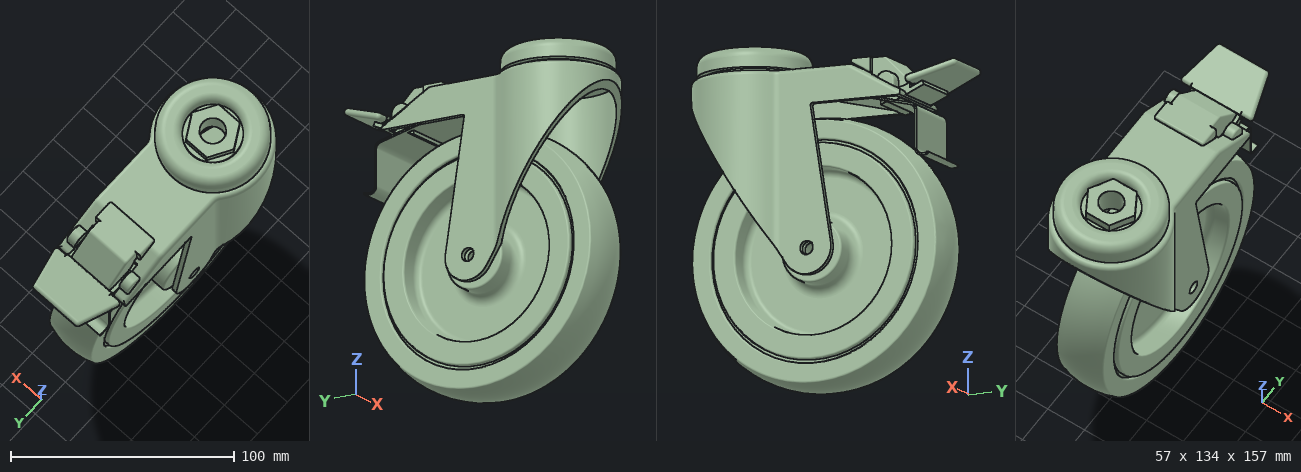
import cadquery as cq
import math


wheel_radius = 62.5
total_height = 157.0
top_z = total_height - wheel_radius
swivel_y = -35.0
axle_hole_diameter = 6.3

sheet = 2.5
fork_top_z = 82.7
barrel_radius = 28.5
tail_half_width = 20.65
tail_rear_y = 45.8
tail_bottom_z = 66.18
tail_slope = math.radians(30)
slope_start_y = 21.4
bend_radius = 4.7
edge_radius = 2.2
neck_fillet = 5.3
leg_radius = 12.01
leg_rear_top_y = 1.7
leg_corner_radius = 1.3
barrel_front_z = 76.3
slot_half_width = 13.5
slot_front_y = 30.1
rear_lip = 1.3

boss_y = 37.7
boss_z = 73.6
boss_radius = 4.47
boss_end_x = 18.7
boss_edge = 1.0

cap_radius = 26.0
cap_bottom_z = 84.5
cap_fillet = 4.9
neck_radius = 22.53
recess_radius = 13.7
recess_fillet = 4.1
recess_depth = 4.7
hex_flats = 22.0
bolt_bore_diameter = 12.0

tyre_half_width = 12.7
tyre_edge_radius = 60.1
tyre_fillet = 1.0
rim_half_width = 13.7
groove_inner_radius = 49.53
groove_outer_radius = 51.0
groove_half_width = 11.0
groove_fillet = 1.0
pocket_radius = 38.5
pocket_edge_fillet = 1.0
pocket_floor_fillet = 3.1
web_half_width = 2.8
hub_radius = 14.8
hub_half_width = 15.4
hub_base_fillet = 5.0
hub_edge_fillet = 1.0
ring_tolerance = 0.02

pedal_tilt = 19.0
pedal_thickness = 3.6
pedal_edge = 1.7
pedal_front_y = 47.7
pedal_front_z = 73.3
pedal_length = 24.0
pedal_front_half_width = 20.1
pedal_rear_half_width = 13.8

cover_top_z = 86.7
cover_front_y = 18.2
cover_step_y = 28.3
cover_crest_y = 35.0
cover_rear_y = 47.7
cover_half_width = 13.5
cover_rear_half_width = 11.5
cover_edge = 1.1
cover_gap = 0.2
crest_radius = 2.0

leaf_half_width = 16.2
lever_thickness = 2.0
lever_tilt = math.radians(24)
lever_front_y = 39.4
lever_rear_y = 54.6
lever_rear_z = 71.5
cheek_front_y = 33.3
cheek_curve_y = 41.9
cheek_z = 71.3
leaf_thickness = 1.0
leaf_tilt = math.radians(13.4)
leaf_front_y = 0.0
leaf_front_z = 74.3
leaf_y = 51.8
leaf_bottom_z = 39.0
leaf_tip_y = 57.6
leaf_curl = 1.5
leaf_bend = 3.1


def profile_prism(points, half_width):
    """Solid with the given (y, z) outline, symmetric about the X = 0 plane."""
    return cq.Workplane("YZ").polyline(points).close().extrude(half_width, both=True)


def slope_z(y):
    """Height of the sloping tail surface at y."""
    return fork_top_z - (y - slope_start_y) * math.tan(tail_slope)


def fork_block():
    """Barrel and tail seen from above, flared together and extruded over the full height."""
    reach = math.sqrt((barrel_radius + neck_fillet) ** 2 - (tail_half_width + neck_fillet) ** 2)
    flare_y = swivel_y + reach
    flare_x = tail_half_width + neck_fillet
    share = barrel_radius / (barrel_radius + neck_fillet)
    touch_x = flare_x * share
    touch_y = swivel_y + reach * share
    mid_angle = math.pi + math.atan2(reach, flare_x) / 2
    mid_x = flare_x + neck_fillet * math.cos(mid_angle)
    mid_y = flare_y + neck_fillet * math.sin(mid_angle)
    return (
        cq.Workplane("XY", origin=(0, 0, -wheel_radius))
        .moveTo(tail_half_width, tail_rear_y)
        .lineTo(tail_half_width, flare_y)
        .threePointArc((mid_x, mid_y), (touch_x, touch_y))
        .threePointArc((0, swivel_y - barrel_radius), (-touch_x, touch_y))
        .threePointArc((-mid_x, mid_y), (-tail_half_width, flare_y))
        .lineTo(-tail_half_width, tail_rear_y)
        .close()
        .extrude(fork_top_z + wheel_radius)
    )


def fork_cavity():
    """Space inside the folded sheet: a round bore joined to a straight channel."""
    floor = cq.Workplane("XY", origin=(0, swivel_y, -wheel_radius))
    height = fork_top_z - sheet + wheel_radius
    bore = floor.circle(barrel_radius - sheet).extrude(height)
    channel = floor.box(
        2 * (tail_half_width - sheet),
        tail_rear_y - sheet - swivel_y,
        height,
        centered=(True, False, False),
    )
    return bore.union(channel).cut(tail_wedge(sheet))


def tail_wedge(inset):
    """Everything above the sloping tail surface moved down by inset."""
    drop = inset / math.cos(tail_slope)
    top = fork_top_z - inset
    shift = (drop - inset) / math.tan(tail_slope)
    far_y = tail_rear_y + 1.5
    points = [(slope_start_y - shift, top), (far_y, slope_z(far_y) - drop), (far_y, top)]
    return profile_prism(points, tail_half_width + 1.5)


def fork_side_profile():
    """Side outline of the fork: tail, raked barrel front and round leg end."""
    front_y = swivel_y - barrel_radius
    front_distance = math.hypot(front_y, barrel_front_z)
    front_angle = math.atan2(barrel_front_z, front_y) + math.acos(leg_radius / front_distance)
    rear_distance = math.hypot(leg_rear_top_y, tail_bottom_z)
    rear_angle = math.atan2(tail_bottom_z, leg_rear_top_y) - math.acos(leg_radius / rear_distance)
    front_touch = (leg_radius * math.cos(front_angle), leg_radius * math.sin(front_angle))
    rear_touch = (leg_radius * math.cos(rear_angle), leg_radius * math.sin(rear_angle))
    return (
        cq.Workplane("YZ")
        .moveTo(front_y, fork_top_z)
        .lineTo(front_y, barrel_front_z)
        .lineTo(*front_touch)
        .threePointArc((0, -leg_radius), rear_touch)
        .lineTo(leg_rear_top_y, tail_bottom_z)
        .lineTo(tail_rear_y, tail_bottom_z)
        .lineTo(tail_rear_y, fork_top_z)
        .close()
        .extrude(2 * barrel_radius, both=True)
        .edges(cq.selectors.NearestToPointSelector((0, leg_rear_top_y, tail_bottom_z)))
        .fillet(leg_corner_radius)
    )


def pivot_boss():
    """Round-topped boss standing on the tail beside the slot."""
    return (
        cq.Workplane("YZ", origin=(slot_half_width, 0, 0))
        .moveTo(boss_y - boss_radius, tail_bottom_z)
        .lineTo(boss_y - boss_radius, boss_z)
        .threePointArc((boss_y, boss_z + boss_radius), (boss_y + boss_radius, boss_z))
        .lineTo(boss_y + boss_radius, tail_bottom_z)
        .close()
        .extrude(boss_end_x - slot_half_width)
        .faces(">X")
        .edges(">Z")
        .fillet(boss_edge)
    )


def swivel_head():
    """Neck, rounded cap with its recess, and the hexagon of the hollow bolt."""
    cap_height = top_z - cap_bottom_z
    neck = cq.Workplane("XY", origin=(0, swivel_y, fork_top_z)).circle(neck_radius)
    cap = (
        cq.Workplane("XY", origin=(0, swivel_y, cap_bottom_z))
        .circle(cap_radius)
        .extrude(cap_height)
        .edges(">Z")
        .fillet(cap_fillet)
    )
    cap = cap.faces(">Z").workplane().hole(2 * recess_radius, recess_depth)
    recess_rim = cq.selectors.RadiusNthSelector(0)
    cap = cap.faces(">Z").edges(recess_rim).fillet(recess_fillet)
    hexagon = (
        cq.Workplane("XY", origin=(0, swivel_y, top_z - recess_depth))
        .polygon(6, hex_flats / math.cos(math.pi / 6))
        .extrude(recess_depth)
    )
    return neck.extrude(cap_bottom_z - fork_top_z).union(cap).union(hexagon)


def fork_shell():
    """Folded sheet bracket, open below, with rounded upper edges."""
    near = cq.selectors.NearestToPointSelector
    bend_line = near((0, slope_start_y, fork_top_z))
    side_edge = near((tail_half_width, 0, fork_top_z))
    rear_edge = near((0, tail_rear_y, slope_z(tail_rear_y)))
    outer = fork_block().cut(tail_wedge(0))
    outer = outer.edges(bend_line).fillet(bend_radius)
    outer = outer.edges(cq.selectors.SumSelector(side_edge, rear_edge)).fillet(edge_radius)
    boss = pivot_boss()
    outer = outer.union(boss).union(boss.mirror("YZ"))
    return outer.cut(fork_cavity()).intersect(fork_side_profile())


def make_fork():
    """Bracket and swivel head in one, with the brake slot, bolt bore and axle hole."""
    slot = cq.Workplane("XY").box(
        2 * slot_half_width,
        tail_rear_y - slot_front_y,
        fork_top_z - tail_bottom_z,
        centered=(True, False, False),
    )
    slot = slot.translate((0, slot_front_y, tail_bottom_z + rear_lip))
    bolt_bore = (
        cq.Workplane("XY", origin=(0, swivel_y, tail_bottom_z))
        .circle(bolt_bore_diameter / 2)
        .extrude(top_z - tail_bottom_z)
    )
    axle_hole = cq.Workplane("YZ").circle(axle_hole_diameter / 2).extrude(barrel_radius, both=True)
    fork = fork_shell().cut(slot).union(swivel_head())
    return fork.cut(bolt_bore).cut(axle_hole)


def revolve_about_axle(half_profile):
    """Turn a closed (x, radius) sketch about the wheel axle."""
    return half_profile.revolve(360, (0, 0, 0), (1, 0, 0))


def round_ring(wheel, x, radius, fillet):
    """Fillet the circular edge of the wheel that lies at x and has this radius."""
    def is_ring(edge):
        return abs(edge.Center().x - x) < ring_tolerance and abs(edge.radius() - radius) < ring_tolerance

    return wheel.edges("%CIRCLE").filter(is_ring).fillet(fillet)


def make_wheel():
    """Crowned tyre, grooved rim, thin web and hub as one turned body."""
    half_section = (
        cq.Workplane("XY")
        .moveTo(-tyre_half_width, tyre_edge_radius)
        .threePointArc((0, wheel_radius), (tyre_half_width, tyre_edge_radius))
        .lineTo(tyre_half_width, groove_outer_radius)
        .lineTo(groove_half_width, groove_outer_radius)
        .lineTo(groove_half_width, groove_inner_radius)
        .lineTo(rim_half_width, groove_inner_radius)
        .lineTo(rim_half_width, pocket_radius)
        .lineTo(web_half_width, pocket_radius)
        .lineTo(web_half_width, hub_radius)
        .lineTo(hub_half_width, hub_radius)
        .lineTo(hub_half_width, axle_hole_diameter / 2)
        .lineTo(-hub_half_width, axle_hole_diameter / 2)
        .lineTo(-hub_half_width, hub_radius)
        .lineTo(-web_half_width, hub_radius)
        .lineTo(-web_half_width, pocket_radius)
        .lineTo(-rim_half_width, pocket_radius)
        .lineTo(-rim_half_width, groove_inner_radius)
        .lineTo(-groove_half_width, groove_inner_radius)
        .lineTo(-groove_half_width, groove_outer_radius)
        .lineTo(-tyre_half_width, groove_outer_radius)
        .close()
    )
    wheel = revolve_about_axle(half_section)
    rounded_rings = [
        (tyre_half_width, tyre_edge_radius, tyre_fillet),
        (tyre_half_width, groove_outer_radius, groove_fillet),
        (rim_half_width, groove_inner_radius, groove_fillet),
        (rim_half_width, pocket_radius, pocket_edge_fillet),
        (web_half_width, pocket_radius, pocket_floor_fillet),
        (web_half_width, hub_radius, hub_base_fillet),
        (hub_half_width, hub_radius, hub_edge_fillet),
    ]
    for x, radius, fillet in rounded_rings:
        for side in (-1, 1):
            wheel = round_ring(wheel, side * x, radius, fillet)
    return wheel


def pedal_plane():
    """Mid-plane of the pedal, with its origin at the middle of the front edge."""
    tilt = math.radians(pedal_tilt)
    return cq.Plane(
        origin=(0, pedal_front_y, pedal_front_z),
        xDir=(1, 0, 0),
        normal=(0, -math.sin(tilt), math.cos(tilt)),
    )


def brake_pedal():
    """Tapered foot plate with rounded edges and a square tongue towards the cover."""
    plate = (
        cq.Workplane(pedal_plane())
        .moveTo(-pedal_front_half_width, 0)
        .lineTo(pedal_front_half_width, 0)
        .lineTo(pedal_rear_half_width, pedal_length)
        .lineTo(-pedal_rear_half_width, pedal_length)
        .close()
        .extrude(pedal_thickness / 2, both=True)
        .edges()
        .fillet(pedal_edge)
    )
    tongue = cq.Workplane(pedal_plane()).box(
        2 * cover_half_width, 2 * pedal_edge, pedal_thickness, centered=(True, False, True)
    )
    return plate.union(tongue)


def cover_front_block():
    """Wide rounded block whose underside follows the tail slope just above it."""
    block = profile_prism(
        [
            (cover_front_y, cover_top_z),
            (cover_step_y, cover_top_z),
            (cover_step_y, slope_z(cover_step_y) + cover_gap),
            (cover_front_y, slope_z(cover_front_y) + cover_gap),
        ],
        cover_half_width,
    )
    return block.edges("not(>Y)").fillet(cover_edge)


def cover_rear_block():
    """Narrower block that falls at 45 degrees from the crest to the pedal."""
    rear_z = cover_top_z - (cover_rear_y - cover_crest_y)
    block = profile_prism(
        [
            (cover_step_y - cover_edge, cover_top_z),
            (cover_crest_y, cover_top_z),
            (cover_rear_y, rear_z),
            (cover_rear_y, cheek_z),
            (cheek_front_y, cheek_z),
            (cover_step_y - cover_edge, slope_z(cover_step_y) + cover_gap + cover_edge),
        ],
        cover_rear_half_width,
    )
    crest = cq.selectors.NearestToPointSelector((0, cover_crest_y, cover_top_z))
    block = block.edges(crest).fillet(crest_radius)
    side_edges = [
        cq.selectors.NearestToPointSelector((side * cover_rear_half_width, cover_step_y, cover_top_z))
        for side in (-1, 1)
    ]
    return block.edges(cq.selectors.SumSelector(*side_edges)).fillet(cover_edge)


def lever_walls():
    """Lower lever block in the slot, its level top edge curving up to the pedal."""
    return (
        cq.Workplane("YZ")
        .moveTo(cheek_front_y, lever_z(cheek_front_y) + lever_thickness)
        .lineTo(cheek_front_y, cheek_z)
        .lineTo(cheek_curve_y, cheek_z)
        .tangentArcPoint((cover_rear_y, pedal_front_z), relative=False)
        .lineTo(cover_rear_y, lever_z(cover_rear_y) + lever_thickness / 2)
        .close()
        .extrude(cover_half_width, both=True)
    )


def lever_z(y):
    """Height of the underside of the lever plate at y."""
    return lever_rear_z - (lever_rear_y - y) * math.tan(lever_tilt)


def lever_plate():
    """Sloping plate that carries the pedal and reaches down to the leaf spring."""
    length = (lever_rear_y - lever_front_y) / math.cos(lever_tilt)
    plane = cq.Plane(
        origin=(0, lever_front_y, lever_z(lever_front_y)),
        xDir=(1, 0, 0),
        normal=(0, -math.sin(lever_tilt), math.cos(lever_tilt)),
    )
    return cq.Workplane(plane).box(
        2 * cover_half_width, length, lever_thickness, centered=(True, False, False)
    )


def leaf_spring():
    """Thin strip: sloping upper run, vertical run, and a lower end that curls up."""
    bend_y = leaf_bend * (1 - math.sin(leaf_tilt))
    bend_start_y = leaf_y - bend_y
    bend_start_z = leaf_front_z - (bend_start_y - leaf_front_y) * math.tan(leaf_tilt)
    curl = math.radians(45)
    centre_line = (
        cq.Workplane("YZ")
        .moveTo(leaf_front_y, leaf_front_z)
        .lineTo(bend_start_y, bend_start_z)
        .tangentArcPoint((bend_y, -leaf_bend * math.cos(leaf_tilt)))
        .lineTo(leaf_y, leaf_bottom_z + leaf_bend)
        .tangentArcPoint((leaf_bend, -leaf_bend))
        .lineTo(leaf_tip_y - leaf_curl * math.sin(curl), leaf_bottom_z)
        .tangentArcPoint((leaf_curl * math.sin(curl), leaf_curl * (1 - math.cos(curl))))
    )
    return centre_line.offset2D(leaf_thickness / 2).extrude(leaf_half_width, both=True)


def make_brake():
    """Lever, cover, pedal and leaf spring as one body."""
    return (
        lever_plate()
        .union(lever_walls())
        .union(cover_rear_block())
        .union(cover_front_block())
        .union(brake_pedal())
        .union(leaf_spring())
    )


brake = make_brake()
fork = make_fork().cut(brake)
wheel = make_wheel()

result = cq.Compound.makeCompound([fork.val(), wheel.val(), brake.val()])